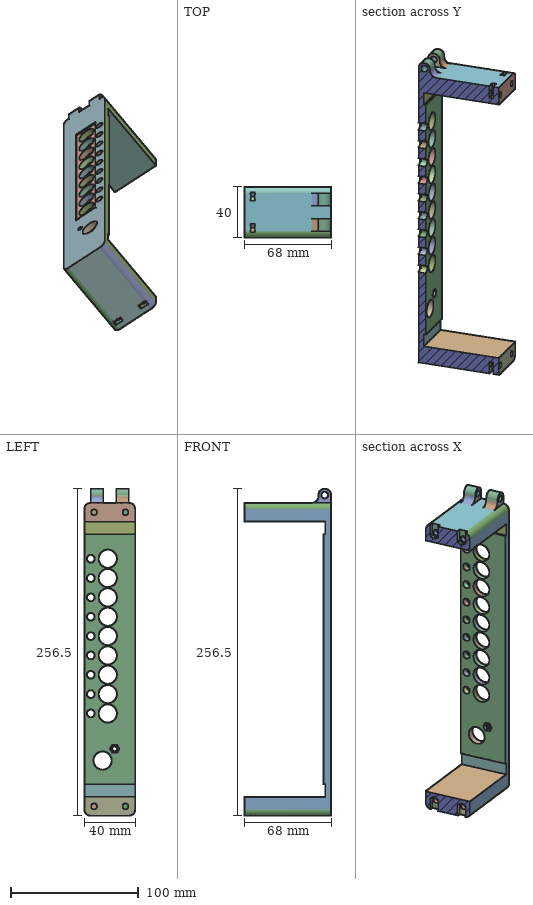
import cadquery as cq
import math

length = 68.0
width = 40.0
height = 256.5

lug_size = 10.0
lug_radius = lug_size / 2
lug_inner_y = lug_size / 2
lug_outer_y = lug_inner_y + lug_size
lug_foot_radius = lug_radius
lug_hole_diameter = 5.1

corner_radius = width / 2 - lug_outer_y

body_height = 245.5
arm_thickness = 15.0
panel_thickness = 6.2
pad_thickness = 1.39
pad_gap = 9.8

row_count = 9
row_span = 121.5
row_pitch = row_span / (row_count - 1)
first_row_z = 80.3
large_diameter = 14.0
large_y = 1.5
small_diameter = 6.0
small_y = 15.0

recess_floor_thickness = 5.1
recess_margin = 2.5

opening_y = 5.6
opening_z = 43.4
screw_y = -3.8
screw_z = 52.5
screw_diameter = 3.8
screw_nut_flats = 6.5
screw_nut_depth = 3.5

arm_screw_y = 12.3
arm_screw_diameter = 4.5
arm_screw_depth = 12.8
arm_nut_flats = 7.0
arm_nut_thickness = 3.3
arm_nut_x = 5.0

pad_x = length - panel_thickness
wall_x = pad_x + pad_thickness
pad_bottom = arm_thickness + pad_gap
arm_bottom = body_height - arm_thickness
pad_top = arm_bottom - pad_gap


def bar_along_x(x_start, x_end, y, z, diameter):
    """Round bar parallel to X."""
    bar = cq.Workplane("YZ", origin=(x_start, y, z))
    return bar.circle(diameter / 2).extrude(x_end - x_start)


def nut_prism(x_start, thickness, y, z, flats, tip_angle):
    """Hexagonal prism parallel to X with one corner at tip_angle from +Y."""
    corner_distance = flats / math.sqrt(3)
    corners = []
    for index in range(6):
        angle = math.radians(tip_angle + 60 * index)
        corners.append((corner_distance * math.cos(angle), corner_distance * math.sin(angle)))
    return cq.Workplane("YZ", origin=(x_start, y, z)).polyline(corners).close().extrude(thickness)


def make_frame():
    """C-shaped body with its four long outer edges rounded."""
    block = cq.Workplane("XY").box(length, width, body_height, centered=(False, True, False))
    block = block.edges("|X").fillet(corner_radius)
    inside = (
        cq.Workplane("XZ")
        .moveTo(0, arm_thickness)
        .lineTo(wall_x, arm_thickness)
        .lineTo(wall_x, pad_bottom)
        .lineTo(pad_x, pad_bottom)
        .lineTo(pad_x, pad_top)
        .lineTo(wall_x, pad_top)
        .lineTo(wall_x, arm_bottom)
        .lineTo(0, arm_bottom)
        .close()
        .extrude(width / 2, both=True)
    )
    return block.cut(inside)


def make_lug(y_start):
    """Round-topped lug with a concave foot towards the arm end and a pivot hole."""
    pivot_x = length - lug_radius
    pivot_z = height - lug_radius
    front_x = pivot_x - lug_radius
    foot_x = front_x - lug_foot_radius
    foot_z = body_height + lug_foot_radius
    foot_offset = lug_foot_radius * math.sqrt(0.5)
    root_z = body_height - lug_radius
    plane_y = y_start + lug_size
    lug = (
        cq.Workplane("XZ", origin=(0, plane_y, 0))
        .moveTo(foot_x, root_z)
        .lineTo(foot_x, body_height)
        .threePointArc((foot_x + foot_offset, foot_z - foot_offset), (front_x, foot_z))
        .lineTo(front_x, pivot_z)
        .threePointArc((pivot_x, height), (length, pivot_z))
        .lineTo(length, root_z)
        .close()
        .extrude(lug_size)
    )
    pivot_hole = (
        cq.Workplane("XZ", origin=(pivot_x, plane_y, pivot_z))
        .circle(lug_hole_diameter / 2)
        .extrude(lug_size)
    )
    return lug.cut(pivot_hole)


def cut_back_recess(body):
    """Rectangular recess around the column of large holes."""
    recess_width = large_diameter + 2 * recess_margin
    recess_height = row_span + recess_width
    floor_x = pad_x + recess_floor_thickness
    middle_z = first_row_z + row_span / 2
    recess_plane = cq.Workplane("YZ", origin=(floor_x, large_y, middle_z))
    return body.cut(recess_plane.rect(recess_width, recess_height).extrude(length - floor_x))


def cut_panel_holes(body):
    """Rows of holes, the separate opening and the recessed screw hole."""
    for row in range(row_count):
        z = first_row_z + row * row_pitch
        body = body.cut(bar_along_x(pad_x, length, large_y, z, large_diameter))
        body = body.cut(bar_along_x(pad_x, length, small_y, z, small_diameter))
    body = body.cut(bar_along_x(pad_x, length, opening_y, opening_z, large_diameter))
    body = body.cut(bar_along_x(pad_x, length, screw_y, screw_z, screw_diameter))
    return body.cut(nut_prism(pad_x, screw_nut_depth, screw_y, screw_z, screw_nut_flats, 0))


def arm_fastener(y, screw_height, outward):
    """Blind screw hole and a pointed nut slot open on the outer face of an arm."""
    hole = bar_along_x(0, arm_screw_depth, y, screw_height, arm_screw_diameter)
    nut = nut_prism(arm_nut_x, arm_nut_thickness, y, screw_height, arm_nut_flats, 90)
    slot_plane = cq.Workplane("XY", origin=(arm_nut_x, y, screw_height))
    slot_section = slot_plane.rect(arm_nut_thickness, arm_nut_flats, centered=(False, True))
    slot = slot_section.extrude(outward * arm_thickness)
    return hole.union(nut).union(slot)


def cut_arm_fasteners(body):
    """Two fasteners in each arm, with the nut slots opening up and down."""
    for y in (-arm_screw_y, arm_screw_y):
        body = body.cut(arm_fastener(y, arm_thickness / 2, -1))
        body = body.cut(arm_fastener(y, body_height - arm_thickness / 2, 1))
    return body


result = make_frame()
for lug_start in (-lug_outer_y, lug_inner_y):
    result = result.union(make_lug(lug_start))
result = cut_back_recess(result)
result = cut_panel_holes(result)
result = cut_arm_fasteners(result)